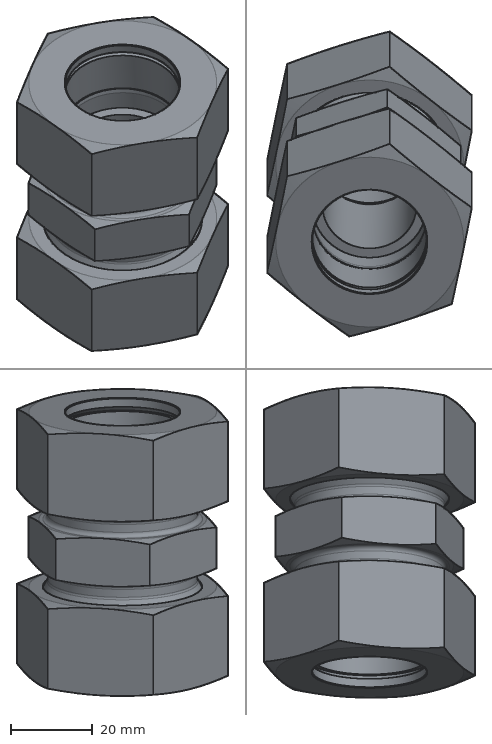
import cadquery as cq
import math


total_length = 66.0
half_length = total_length / 2
nut_height = 22.0
nut_inner_face = half_length - nut_height

nut_across_flats = 46.0
body_across_flats = 41.0
body_hex_height = 12.0
hex_chamfer_angle = 15.0
hex_half_angle = 30.0

neck_diameter = 36.7
neck_fillet = 1.2
thread_diameter = 39.0
thread_lead_angle = 30.0
thread_runout_gap = 1.25
body_end_depth = 10.0
body_end = half_length - body_end_depth
through_diameter = 23.0
tube_stop_depth = 20.45
tube_stop = half_length - tube_stop_depth

tube_diameter = 28.0
ring_top_diameter = 30.3
ring_flange_diameter = 33.0
ring_top_depth = 3.4
ring_top = half_length - ring_top_depth
ring_tip_depth = 14.25
ring_tip = half_length - ring_tip_depth
sealing_cone_angle = 12.0
cone_mouth_diameter = 30.3

nut_bore_diameter = tube_diameter
nut_bore_chamfer = 0.2

ring_shoulder = ring_top - (ring_flange_diameter - ring_top_diameter) / 2
seat_top = ring_top + (ring_top_diameter - nut_bore_diameter) / 2


def tangent(angle):
    return math.tan(math.radians(angle))


def sealing_cone_radius(z):
    """Radius of the sealing cone, which narrows from the end of the body inward."""
    return cone_mouth_diameter / 2 - (body_end - z) * tangent(sealing_cone_angle)


def revolve_profile(profile):
    """Turn a closed (radius, Z) profile about the Z axis."""
    return profile.close().revolve(360, (0, 0, 0), (0, 1, 0))


def chamfered_hexagon(across_flats, z_bottom, z_top):
    """Hexagonal prism whose corners are turned down at both ends."""
    flat_radius = across_flats / 2
    corner_radius = flat_radius / math.cos(math.radians(hex_half_angle))
    drop = (corner_radius - flat_radius) * tangent(hex_chamfer_angle)
    prism = (
        cq.Workplane("XY", origin=(0, 0, z_bottom))
        .polygon(6, 2 * corner_radius)
        .extrude(z_top - z_bottom)
        .rotate((0, 0, 0), (0, 0, 1), hex_half_angle)
    )
    envelope = revolve_profile(
        cq.Workplane("XZ")
        .moveTo(0, z_bottom)
        .lineTo(flat_radius, z_bottom)
        .lineTo(corner_radius, z_bottom + drop)
        .lineTo(corner_radius, z_top - drop)
        .lineTo(flat_radius, z_top)
        .lineTo(0, z_top)
    )
    return prism.intersect(envelope)


def mirrored(shape):
    return shape.mirror("XY")


def make_threaded_end():
    """Upper spigot of the body: filleted neck, thread run-out cone and thread."""
    hex_face = body_hex_height / 2
    neck_radius = neck_diameter / 2
    thread_radius = thread_diameter / 2
    lead = math.radians(thread_lead_angle)
    runout_start = nut_inner_face - thread_runout_gap
    runout_radius = neck_radius + neck_fillet * (1 - math.cos(lead))
    neck_end = runout_start - neck_fillet * math.sin(lead)
    thread_start = runout_start + (thread_radius - runout_radius) / math.tan(lead)

    def fillet_point(center_z, angle):
        radius = neck_radius + neck_fillet * (1 - math.cos(angle))
        return radius, center_z + neck_fillet * math.sin(angle)

    fillet_top = hex_face + neck_fillet
    return revolve_profile(
        cq.Workplane("XZ")
        .moveTo(0, 0)
        .lineTo(neck_radius + neck_fillet, 0)
        .lineTo(neck_radius + neck_fillet, hex_face)
        .threePointArc(fillet_point(fillet_top, -math.pi / 4), (neck_radius, fillet_top))
        .lineTo(neck_radius, neck_end)
        .threePointArc(fillet_point(neck_end, lead / 2), (runout_radius, runout_start))
        .lineTo(thread_radius, thread_start)
        .lineTo(thread_radius, body_end)
        .lineTo(0, body_end)
    )


def make_tube_socket():
    """Space for the tube in the upper end: sealing cone, socket and tube stop."""
    tube_radius = tube_diameter / 2
    mouth_radius = cone_mouth_diameter / 2
    cone_bottom = body_end - (mouth_radius - tube_radius) / tangent(sealing_cone_angle)
    return revolve_profile(
        cq.Workplane("XZ")
        .moveTo(0, tube_stop)
        .lineTo(tube_radius, tube_stop)
        .lineTo(tube_radius, cone_bottom)
        .lineTo(mouth_radius, body_end)
        .lineTo(0, body_end)
    )


def make_body():
    body = chamfered_hexagon(body_across_flats, -body_hex_height / 2, body_hex_height / 2)
    spigot = make_threaded_end()
    socket = make_tube_socket()
    through_hole = cq.Workplane("XY").circle(through_diameter / 2).extrude(body_end, both=True)
    body = body.union(spigot).union(mirrored(spigot))
    return body.cut(socket).cut(mirrored(socket)).cut(through_hole)


def make_ring():
    """Upper cutting ring: its flange rests on the body end, its nose in the sealing cone."""
    return revolve_profile(
        cq.Workplane("XZ")
        .moveTo(tube_diameter / 2, ring_tip)
        .lineTo(sealing_cone_radius(ring_tip), ring_tip)
        .lineTo(cone_mouth_diameter / 2, body_end)
        .lineTo(ring_flange_diameter / 2, body_end)
        .lineTo(ring_flange_diameter / 2, ring_shoulder)
        .lineTo(ring_top_diameter / 2, ring_top)
        .lineTo(tube_diameter / 2, ring_top)
    )


def make_nut():
    """Upper nut: stepped bore for thread, ring flange, ring seat and tube."""
    thread_radius = thread_diameter / 2
    flange_radius = ring_flange_diameter / 2
    bore_radius = nut_bore_diameter / 2
    bore = revolve_profile(
        cq.Workplane("XZ")
        .moveTo(0, nut_inner_face)
        .lineTo(thread_radius, nut_inner_face)
        .lineTo(thread_radius, body_end)
        .lineTo(flange_radius, body_end)
        .lineTo(flange_radius, ring_shoulder)
        .lineTo(bore_radius, seat_top)
        .lineTo(bore_radius, half_length - nut_bore_chamfer)
        .lineTo(bore_radius + nut_bore_chamfer, half_length)
        .lineTo(0, half_length)
    )
    return chamfered_hexagon(nut_across_flats, nut_inner_face, half_length).cut(bore)


body = make_body()
end_parts = []
for upper_part in (make_ring(), make_nut()):
    end_parts.append(upper_part.val())
    end_parts.append(mirrored(upper_part).val())

result = cq.Compound.makeCompound([body.val(), *end_parts])